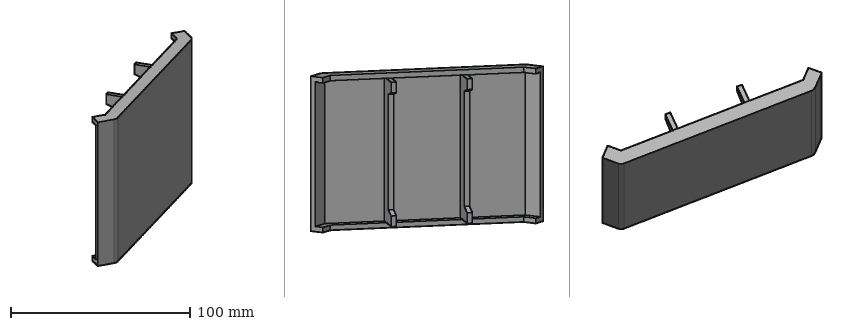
import cadquery as cq
import math

SIDE = 94.0
HEIGHT = 88.0
END_WIDTH = 8.0
PANEL_DEPTH = 8.0
WALL = 3.0
BEND_RADIUS = 4.0

RIB_THICKNESS = 3.0
RIB_PITCH = 43.4
RIB_PROJECTION = 11.9
NOTCH_DEPTH = 7.05
RIB_END_HEIGHT = 6.0
NOTCH_SLOPE_HEIGHT = 2.3

HALF = SIDE / 2
HALF_HEIGHT = HEIGHT / 2
INNER_HALF_HEIGHT = HALF_HEIGHT - WALL


def diagonal_prism(outer, back_depth, height):
    """Prism filling the space from the rim to a back plane parallel to the panel.

    outer is the X and Y position of the flange faces; back_depth is the
    distance of the back plane behind the rim plane x + y = 0.
    """
    inner = HALF - END_WIDTH
    back_corner = back_depth * math.sqrt(2) - outer
    outline = [
        (-HALF, outer),
        (back_corner, outer),
        (outer, back_corner),
        (outer, -HALF),
        (inner, -HALF),
        (inner, -inner),
        (-inner, inner),
        (-HALF, inner),
    ]
    return (
        cq.Workplane("XY")
        .workplane(offset=-height / 2)
        .polyline(outline)
        .close()
        .extrude(height)
    )


def make_shell():
    """Diagonal panel with flanged ends, hollowed from its rim side."""
    body = diagonal_prism(HALF, PANEL_DEPTH, HEIGHT)
    bend = PANEL_DEPTH * math.sqrt(2) - HALF
    for x, y in [(bend, HALF), (HALF, bend)]:
        body = body.edges(cq.selectors.NearestToPointSelector((x, y, 0))).fillet(BEND_RADIUS)
    cavity = diagonal_prism(HALF - WALL, PANEL_DEPTH - WALL, 2 * INNER_HALF_HEIGHT)
    return body.cut(cavity)


def make_rib(position):
    """Rib across the panel, centred at a distance along the panel's length."""
    plane = cq.Plane(origin=(0, 0, 0), xDir=(-1, -1, 0), normal=(1, -1, 0))
    root = -(PANEL_DEPTH - WALL / 2)
    notch = RIB_PROJECTION - NOTCH_DEPTH
    slope_top = INNER_HALF_HEIGHT - RIB_END_HEIGHT
    slope_bottom = slope_top - NOTCH_SLOPE_HEIGHT
    outline = [
        (root, INNER_HALF_HEIGHT),
        (RIB_PROJECTION, INNER_HALF_HEIGHT),
        (RIB_PROJECTION, slope_top),
        (notch, slope_bottom),
        (notch, -slope_bottom),
        (RIB_PROJECTION, -slope_top),
        (RIB_PROJECTION, -INNER_HALF_HEIGHT),
        (root, -INNER_HALF_HEIGHT),
    ]
    return (
        cq.Workplane(plane)
        .workplane(offset=position - RIB_THICKNESS / 2)
        .polyline(outline)
        .close()
        .extrude(RIB_THICKNESS)
    )


result = make_shell()
for rib_position in (-RIB_PITCH / 2, RIB_PITCH / 2):
    result = result.union(make_rib(rib_position))